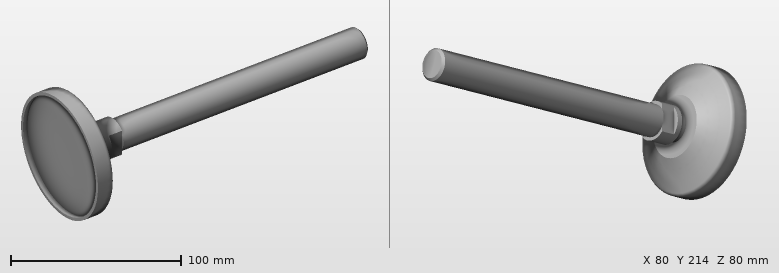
import cadquery as cq
import math

total_length = 214.0
rim_height = 9.2
cone_top = 20.8
neck_base = 22.7
collar_base = 26.0
flat_base = 29.3
collar_top = 38.7

foot_radius = 80.0 / 2
recess_radius = 76.0 / 2
recess_depth = 3.2
cone_top_radius = 19.0
shoulder_round = 2.5
shoulder_sweep = 70

flare_radius = 9.6
neck_radius = 17.8 / 2
waist_radius = 17.0 / 2
collar_radius = 24.0 / 2
across_flats = 17.1
stud_radius = 20.0 / 2
tip_chamfer = 1.5


def shoulder_point(degrees):
    """Return the (radius, Y) point on the rounded shoulder at an angle from the rim."""
    angle = math.radians(degrees)
    radius = foot_radius - shoulder_round * (1 - math.cos(angle))
    return radius, rim_height + shoulder_round * math.sin(angle)


def make_foot_and_stud():
    """Revolve the (radius, Y) profile of the whole part around the Y axis."""
    shoulder_middle = shoulder_point(shoulder_sweep / 2)
    shoulder_end = shoulder_point(shoulder_sweep)
    waist_height = (neck_base + collar_base) / 2
    profile = (
        cq.Workplane("XY")
        .moveTo(0, recess_depth)
        .lineTo(recess_radius, recess_depth)
        .lineTo(recess_radius, 0)
        .lineTo(foot_radius, 0)
        .lineTo(foot_radius, rim_height)
        .threePointArc(shoulder_middle, shoulder_end)
        .tangentArcPoint((cone_top_radius, cone_top), relative=False)
        .lineTo(flare_radius, cone_top)
        .lineTo(neck_radius, neck_base)
        .threePointArc((waist_radius, waist_height), (neck_radius, collar_base))
        .lineTo(collar_radius, collar_base)
        .lineTo(collar_radius, collar_top)
        .lineTo(stud_radius, collar_top)
        .lineTo(stud_radius, total_length - tip_chamfer)
        .lineTo(stud_radius - tip_chamfer, total_length)
        .lineTo(0, total_length)
        .close()
    )
    return profile.revolve(360, (0, 0, 0), (0, 1, 0))


def cut_wrench_flats(body):
    """Cut two opposite flats across X in the upper part of the collar."""
    flat_length = collar_top - flat_base
    flat_middle = (collar_top + flat_base) / 2
    for side in (-1, 1):
        cutter = cq.Workplane("XY").box(collar_radius, flat_length, 2 * collar_radius)
        offset = side * (across_flats + collar_radius) / 2
        body = body.cut(cutter.translate((offset, flat_middle, 0)))
    return body


result = cut_wrench_flats(make_foot_and_stud())